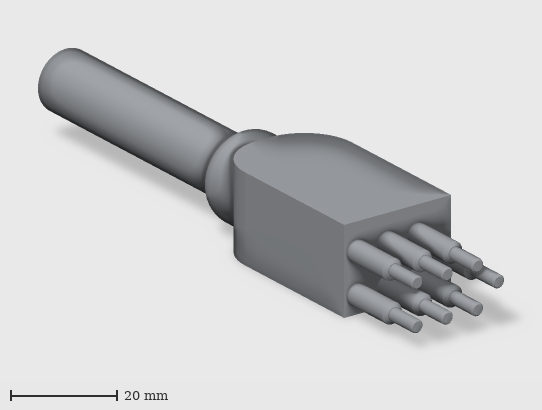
import cadquery as cq

total_length = 126.0

body_width = 25.0
body_height = 19.0
body_start = 63.5
body_end = 106.5
body_corner_radius = 11.1

cable_diameter = 13.0
boot_diameter = body_height
boot_start = 55.0
boot_edge_radius = 3.9

pin_diameter = 4.5
pin_shoulder = 118.6
pin_shoulder_chamfer = 0.8
tip_diameter = 2.8
tip_chamfer = 0.32

pin_pitch = 7.0
first_pin_y = -9.6
row_heights = (3.5, -5.4)
pins_per_row = 3
key_pin_y = 9.5
key_pin_z = sum(row_heights) / len(row_heights)


def cylinder_along_x(diameter, start, end, y=0, z=0):
    """Solid cylinder parallel to X between two X positions."""
    plane = cq.Workplane("YZ", origin=(start, y, z))
    return plane.circle(diameter / 2).extrude(end - start)


def make_body():
    """Flat block with its two cable-side corners rounded."""
    block = cq.Workplane("XY").box(
        body_end - body_start, body_width, body_height, centered=(False, True, True)
    )
    rounded = block.edges("|Z and <X").fillet(body_corner_radius)
    return rounded.translate((body_start, 0, 0))


def make_boot():
    """Round collar that runs into the body, rounded where the cable enters."""
    boot_end = body_start + body_corner_radius
    boot = cylinder_along_x(boot_diameter, boot_start, boot_end)
    return boot.faces("<X").edges().fillet(boot_edge_radius)


def make_pin(y, z):
    """Thick pin with a chamfered shoulder and a thinner chamfered tip."""
    thick = cylinder_along_x(pin_diameter, body_end, pin_shoulder, y, z)
    thick = thick.faces(">X").chamfer(pin_shoulder_chamfer)
    tip = cylinder_along_x(tip_diameter, body_end, total_length, y, z)
    tip = tip.faces(">X").chamfer(tip_chamfer)
    return thick.union(tip)


pin_places = [
    (first_pin_y + column * pin_pitch, z)
    for z in row_heights
    for column in range(pins_per_row)
]
pin_places.append((key_pin_y, key_pin_z))

cable = cylinder_along_x(cable_diameter, 0, body_start)
result = make_body().union(make_boot()).union(cable)
for pin_y, pin_z in pin_places:
    result = result.union(make_pin(pin_y, pin_z))